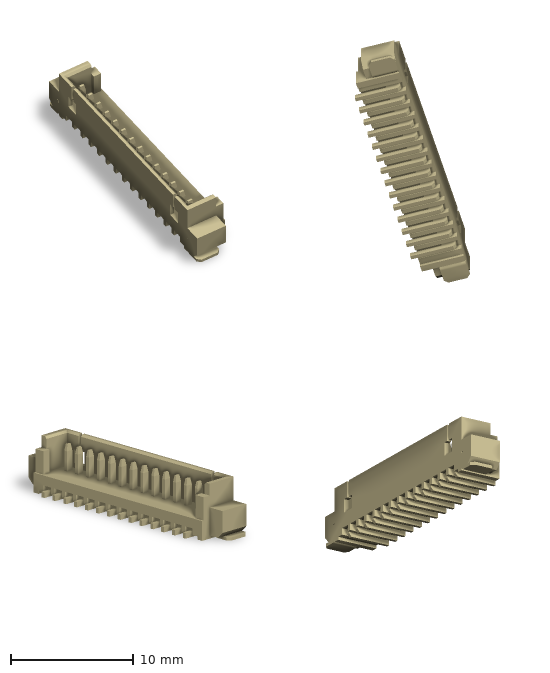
import cadquery as cq


overall_length = 22.65
body_half_length = 9.67
body_depth = 3.7
body_height = 4.7
floor_height = 1.7
base_height = 0.27
wall_depth = 2.8
front_wall = 0.4
end_wall = 0.61
mouth_chamfer = 0.18
post_inner_x = 8.72
post_depth = 0.7
post_height = 3.7
standoff_inner_x = 9.13

ear_half_length = 11.15
ear_height = 2.67
ear_chamfer = 0.52

window_inner_x = 7.07
window_width = 1.18
window_bottom = 2.1
window_top = 3.28
slit_inner_x = 7.47
slit_width = 0.3

pin_count = 14
pin_row_length = 16.25
pin_pitch = pin_row_length / (pin_count - 1)
pin_width = 0.32
pin_front = 0.93
pin_thickness = 0.61
pin_top = 3.99
pin_back = 4.2
foot_thickness = 0.48
heel_front = 0.32
heel_height = 0.27
heel_setback = 0.23
tip_height = 0.57
tip_front_inset = 0.11
tip_back_inset = 0.11
tip_side_inset = 0.07
relief_width = 0.88
relief_height = 0.84

nail_thickness = 0.25
nail_depth = 2.22
nail_height = 1.63
nail_hook_x = 10.42
nail_inner_radius = 0.1
nail_outer_radius = nail_inner_radius + nail_thickness
nail_corner = 0.3

half_length = overall_length / 2
pin_positions = [i * pin_pitch - pin_row_length / 2 for i in range(pin_count)]


def block(x0, x1, y0, y1, z0, z1):
    """Box given by its limits on each axis."""
    return cq.Workplane("XY").box(x1 - x0, y1 - y0, z1 - z0, centered=False).translate((x0, y0, z0))


def extrude_back(sketch, depth):
    """Extrude an XZ sketch from the front face towards +Y."""
    return sketch.extrude(-depth)


def mirrored(solid):
    """The solid together with its mirror image at the other end."""
    return solid.union(solid.mirror("YZ"))


def make_housing():
    """Floor, front wall and end walls, with a chamfered mouth."""
    base = block(-body_half_length, body_half_length, 0, body_depth, base_height, floor_height)
    walls = block(-body_half_length, body_half_length, 0, wall_depth, floor_height, body_height)
    cavity_half = body_half_length - end_wall
    cavity = block(-cavity_half, cavity_half, front_wall, wall_depth, floor_height, body_height)
    mouth_half = cavity_half + mouth_chamfer
    mouth_bottom = body_height - mouth_chamfer
    run_out = wall_depth + mouth_chamfer
    mouth = (
        cq.Workplane("XY", origin=(0, (front_wall + run_out) / 2, mouth_bottom))
        .rect(2 * cavity_half, run_out - front_wall)
        .workplane(offset=mouth_chamfer)
        .rect(2 * mouth_half, run_out - front_wall + 2 * mouth_chamfer)
        .loft(ruled=True)
    )
    return base.union(walls.cut(cavity).cut(mouth))


def make_end():
    """Ear, rear post and standoff at the +X end."""
    ear = block(body_half_length, ear_half_length, 0, wall_depth, base_height, ear_height)
    ear = ear.edges(">X and <Z").chamfer(ear_chamfer)
    post = block(
        post_inner_x, body_half_length, wall_depth, wall_depth + post_depth, floor_height, post_height
    )
    standoff = block(standoff_inner_x, body_half_length, 0, body_depth, 0, base_height)
    return ear.union(post).union(standoff)


def make_latch_opening():
    """Window with a narrower slit above it, through the front wall."""
    window = block(
        window_inner_x, window_inner_x + window_width, 0, front_wall, window_bottom, window_top
    )
    slit = block(slit_inner_x, slit_inner_x + slit_width, 0, front_wall, window_top, body_height)
    return window.union(slit)


def make_pin():
    """Upright blade with a tapered tip, a heel under the housing and a foot to the back."""
    upright_back = pin_front + pin_thickness
    shoulder = pin_top - tip_height
    outline = (
        cq.Workplane("YZ")
        .moveTo(heel_front + heel_setback, 0)
        .lineTo(pin_back, 0)
        .lineTo(pin_back, foot_thickness)
        .lineTo(upright_back, foot_thickness)
        .lineTo(upright_back, shoulder)
        .lineTo(upright_back - tip_back_inset, pin_top)
        .lineTo(pin_front + tip_front_inset, pin_top)
        .lineTo(pin_front, shoulder)
        .lineTo(pin_front, relief_height)
        .lineTo(heel_front, relief_height)
        .lineTo(heel_front, heel_height)
        .close()
    )
    pin = outline.extrude(pin_width / 2, both=True)
    return pin.faces(">Z").edges("|Y").chamfer(tip_height, tip_side_inset)


def make_nail():
    """Bent strip: foot on the board, upright leg, hook held in the ear."""
    leg_outer = body_half_length
    leg_inner = leg_outer + nail_thickness
    bend = nail_outer_radius
    fold = nail_inner_radius
    hook_bottom = nail_height - nail_thickness
    outline = (
        cq.Workplane("XZ")
        .moveTo(half_length, 0)
        .lineTo(leg_outer + bend, 0)
        .radiusArc((leg_outer, bend), bend)
        .lineTo(leg_outer, nail_height - bend)
        .radiusArc((leg_outer + bend, nail_height), bend)
        .lineTo(nail_hook_x, nail_height)
        .lineTo(nail_hook_x, hook_bottom)
        .lineTo(leg_inner + fold, hook_bottom)
        .radiusArc((leg_inner, hook_bottom - fold), -fold)
        .lineTo(leg_inner, base_height)
        .lineTo(half_length, base_height)
        .close()
    )
    nail = extrude_back(outline, nail_depth)
    return nail.edges("|Z and >X").chamfer(nail_corner)


def make_nail_slot():
    """Square-cornered slot in the ear that takes the nail's leg and hook."""
    leg = block(
        body_half_length, body_half_length + nail_thickness, 0, nail_depth, base_height, nail_height
    )
    hook = block(
        body_half_length, nail_hook_x, 0, nail_depth, nail_height - nail_thickness, nail_height
    )
    return leg.union(hook)


housing = make_housing().union(mirrored(make_end()))
housing = housing.cut(mirrored(make_latch_opening()))
housing = housing.cut(mirrored(make_nail_slot()))

relief = block(-relief_width / 2, relief_width / 2, 0, body_depth, base_height, relief_height)
pin = make_pin()
for x in pin_positions:
    housing = housing.cut(relief.translate((x, 0, 0)))
    housing = housing.union(pin.translate((x, 0, 0)))

result = housing.union(mirrored(make_nail()), clean=False)